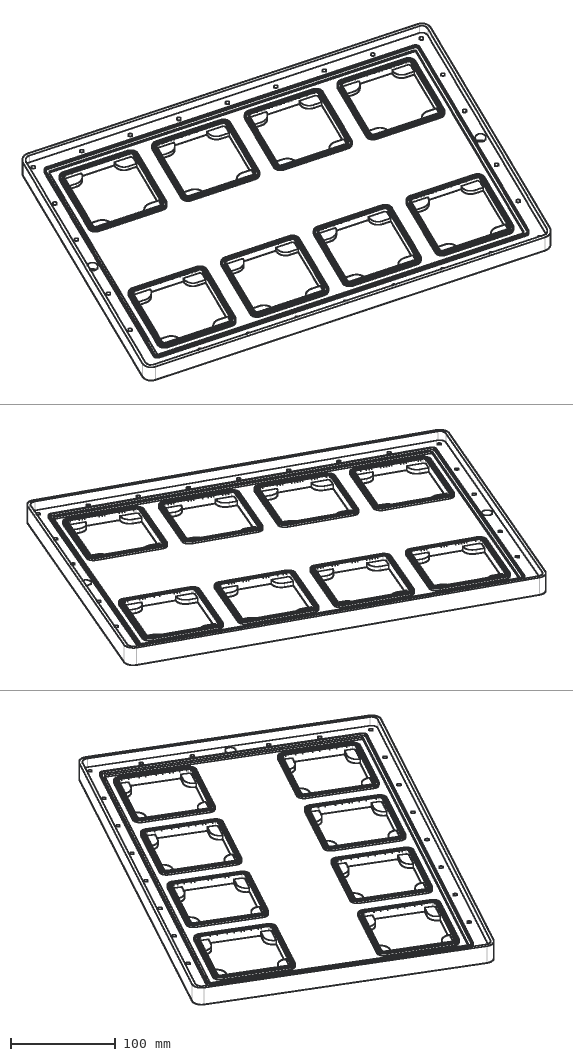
import cadquery as cq

WIDTH = 298.2
LENGTH = 425.5
HEIGHT = 19.0
CORNER_RADIUS = 9.5
WALL = 3.2
BORDER_DEPTH = 9.8
PANEL_DROP = 2.0
BORDER_Z = HEIGHT - BORDER_DEPTH
PANEL_Z = BORDER_Z - PANEL_DROP

RIDGE_OFFSET = 17.0
RIDGE_THICKNESS = 1.3
RIDGE_HEIGHT = 2.0
RIDGE_RADIUS = 4.3
LEDGE_WIDTH = 3.0
PANEL_OFFSET = RIDGE_OFFSET + RIDGE_THICKNESS + LEDGE_WIDTH
PANEL_RADIUS = 1.3

WINDOW_COLUMNS = 2
WINDOW_ROWS = 4
WINDOW_PITCH_X = 162.0
WINDOW_PITCH_Y = 96.5
FRAME_SIZE = 81.3
FRAME_RADIUS = 7.2
FRAME_HEIGHT = 2.0
FRAME_RIDGE = 1.3
FRAME_GROOVE = 2.0
LIP_OFFSET = FRAME_RIDGE + FRAME_GROOVE
OPENING_OFFSET = LIP_OFFSET + FRAME_RIDGE
OPENING_SIZE = FRAME_SIZE - 2 * OPENING_OFFSET
OPENING_RADIUS = FRAME_RADIUS - OPENING_OFFSET

EAR_WIDTH = 10.0
EAR_LENGTH = 18.7
EAR_RADIUS = 9.8
EAR_THICKNESS = 4.5

HOLE_INSET = 10.0
SCREW_DIAMETER = 4.0
SCREW_DEPTH = 5.0
SCREW_PITCH = 50.5
SCREWS_PER_LONG_SIDE = 9
SCREWS_BESIDE_CORNER = 2
LOCATING_DIAMETER = 10.0


def rounded_block(width, length, radius, bottom, top):
    """Block centred on the Z axis, with rounded vertical edges."""
    block = cq.Workplane("XY").workplane(offset=bottom).rect(width, length).extrude(top - bottom)
    return block.edges("|Z").fillet(radius)


def ridge_ring(width, length, radius, thickness, bottom, top):
    """Thin rectangular ring with rounded corners; width and length are its outer sides."""
    outer = rounded_block(width, length, radius, bottom, top)
    inner = rounded_block(width - 2 * thickness, length - 2 * thickness, radius - thickness, bottom, top)
    return outer.cut(inner)


def make_tray():
    """Tray with a raised outer wall, a ridged border and a sunken middle panel."""
    tray = rounded_block(WIDTH, LENGTH, CORNER_RADIUS, 0, HEIGHT)
    recess = rounded_block(
        WIDTH - 2 * WALL, LENGTH - 2 * WALL, CORNER_RADIUS - WALL, BORDER_Z, HEIGHT
    )
    panel_recess = rounded_block(
        WIDTH - 2 * PANEL_OFFSET, LENGTH - 2 * PANEL_OFFSET, PANEL_RADIUS, PANEL_Z, BORDER_Z
    )
    ridge = ridge_ring(
        WIDTH - 2 * RIDGE_OFFSET,
        LENGTH - 2 * RIDGE_OFFSET,
        RIDGE_RADIUS,
        RIDGE_THICKNESS,
        BORDER_Z,
        BORDER_Z + RIDGE_HEIGHT,
    )
    return tray.cut(recess).cut(panel_recess).union(ridge)


def make_window_frame():
    """Outer ridge and inner lip that stand on the panel around one window."""
    top = PANEL_Z + FRAME_HEIGHT
    lip_size = FRAME_SIZE - 2 * LIP_OFFSET
    lip_radius = FRAME_RADIUS - LIP_OFFSET
    ridge = ridge_ring(FRAME_SIZE, FRAME_SIZE, FRAME_RADIUS, FRAME_RIDGE, PANEL_Z, top)
    lip = ridge_ring(lip_size, lip_size, lip_radius, FRAME_RIDGE, PANEL_Z, top)
    return ridge.union(lip)


def make_window_cutter():
    """Through opening of one window, leaving an ear in each corner."""
    opening = rounded_block(OPENING_SIZE, OPENING_SIZE, OPENING_RADIUS, 0, HEIGHT)
    ear = rounded_block(2 * EAR_WIDTH, 2 * EAR_LENGTH, EAR_RADIUS, 0, EAR_THICKNESS)
    half = OPENING_SIZE / 2
    for x in (-half, half):
        for y in (-half, half):
            opening = opening.cut(ear.translate((x, y, 0)))
    return opening


def add_windows(tray):
    """Frame and cut the grid of windows."""
    frame = make_window_frame()
    cutter = make_window_cutter()
    for column in range(WINDOW_COLUMNS):
        x = (column - (WINDOW_COLUMNS - 1) / 2) * WINDOW_PITCH_X
        for row in range(WINDOW_ROWS):
            y = (row - (WINDOW_ROWS - 1) / 2) * WINDOW_PITCH_Y
            tray = tray.union(frame.translate((x, y, 0))).cut(cutter.translate((x, y, 0)))
    return tray


def drill_border(tray):
    """Blind screw holes around the border and a through locating hole in each short side."""
    hole_x = WIDTH / 2 - HOLE_INSET
    hole_y = LENGTH / 2 - HOLE_INSET
    screws = []
    for side in (-1, 1):
        for index in range(SCREWS_PER_LONG_SIDE):
            y = (index - (SCREWS_PER_LONG_SIDE - 1) / 2) * SCREW_PITCH
            screws.append((side * hole_x, y))
        for step in range(1, SCREWS_BESIDE_CORNER + 1):
            x = side * (hole_x - step * SCREW_PITCH)
            screws.append((x, -hole_y))
            screws.append((x, hole_y))
    screw_holes = (
        cq.Workplane("XY")
        .workplane(offset=BORDER_Z - SCREW_DEPTH)
        .pushPoints(screws)
        .circle(SCREW_DIAMETER / 2)
        .extrude(SCREW_DEPTH)
    )
    locating_holes = (
        cq.Workplane("XY")
        .pushPoints([(0, -hole_y), (0, hole_y)])
        .circle(LOCATING_DIAMETER / 2)
        .extrude(BORDER_Z)
    )
    return tray.cut(screw_holes).cut(locating_holes)


result = drill_border(add_windows(make_tray()))